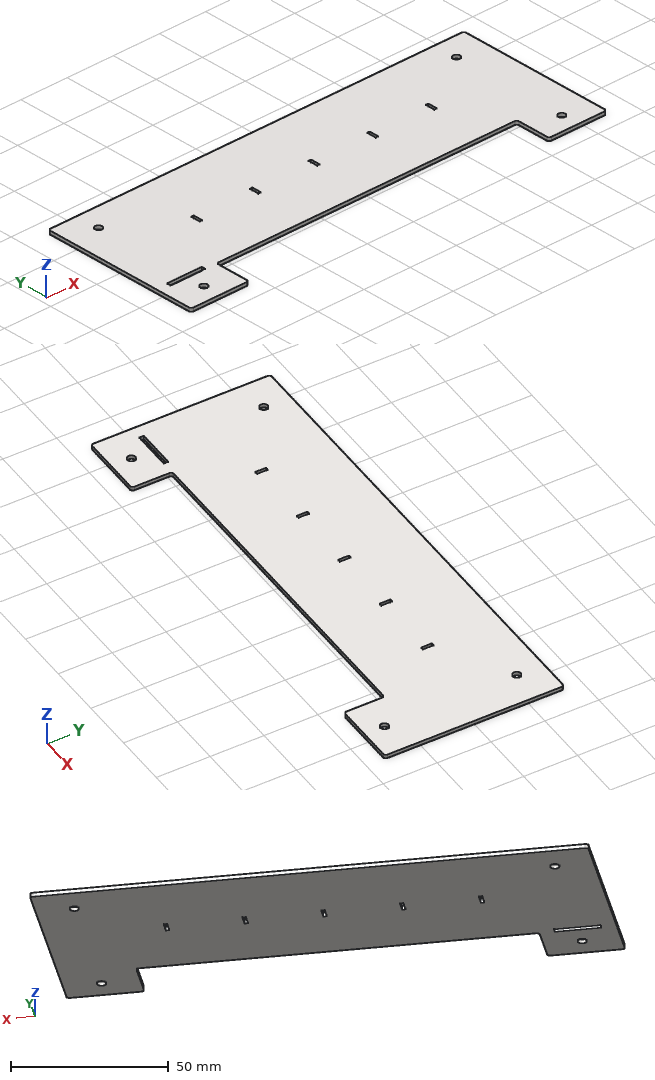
import cadquery as cq

length = 180.0
width = 66.6
thickness = 1.5
corner_radius = 1.0

foot_length = 25.0
notch_depth = 15.0

hole_diameter = 2.95
hole_end_margin = 12.5
hole_top_margin = 10.0
hole_spacing_y = 49.1

slot_count = 5
slot_pitch = 25.4
slot_width = 1.1
slot_length = 4.0
slot_row_top_margin = 27.0
slot_row_y = width - slot_row_top_margin

long_slot_length = 15.0
long_slot_width = 1.6
long_slot_x = foot_length / 2
long_slot_y = notch_depth + long_slot_width / 2


def make_plate():
    """Flat plate with a foot at each end and every vertical corner rounded."""
    outline = [
        (0, 0),
        (foot_length, 0),
        (foot_length, notch_depth),
        (length - foot_length, notch_depth),
        (length - foot_length, 0),
        (length, 0),
        (length, width),
        (0, width),
    ]
    plate = cq.Workplane("XY").polyline(outline).close().extrude(thickness)
    return plate.edges("|Z").fillet(corner_radius)


def cut_mounting_holes(plate):
    upper_y = width - hole_top_margin
    centers = [
        (x, y)
        for x in (hole_end_margin, length - hole_end_margin)
        for y in (upper_y - hole_spacing_y, upper_y)
    ]
    holes = cq.Workplane("XY").pushPoints(centers).circle(hole_diameter / 2).extrude(thickness)
    return plate.cut(holes)


def cut_slot_row(plate):
    first_x = length / 2 - slot_pitch * (slot_count - 1) / 2
    centers = [(first_x + i * slot_pitch, slot_row_y) for i in range(slot_count)]
    slots = cq.Workplane("XY").pushPoints(centers).rect(slot_width, slot_length).extrude(thickness)
    return plate.cut(slots)


def cut_long_slot(plate):
    slot = (
        cq.Workplane("XY")
        .center(long_slot_x, long_slot_y)
        .rect(long_slot_length, long_slot_width)
        .extrude(thickness)
    )
    return plate.cut(slot)


result = cut_long_slot(cut_slot_row(cut_mounting_holes(make_plate())))